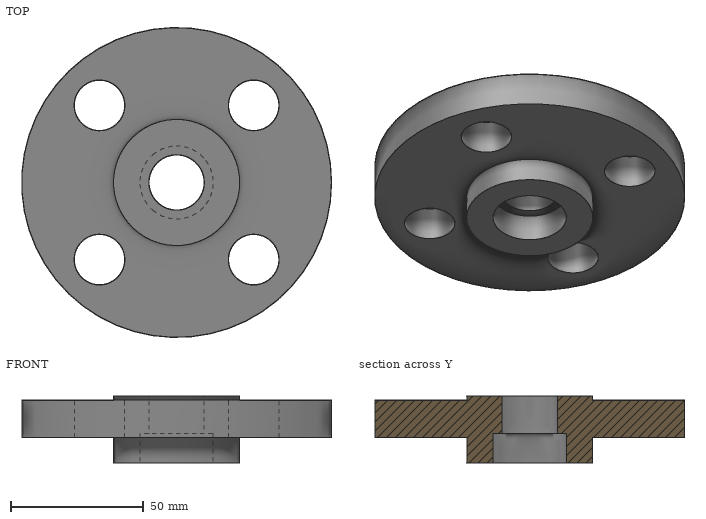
import cadquery as cq
import math

flange_diameter = 117.35
total_height = 25.4

hub_diameter = 47.75
raised_face_height = 1.6
rim_height = 14.15
hub_height = total_height - rim_height - raised_face_height

bore_diameter = 20.83
socket_diameter = 27.69
socket_depth = 11.18

bolt_circle_diameter = 82.55
bolt_hole_diameter = 19.05
bolt_count = 4
first_bolt_angle = 45.0


def disc(diameter, base_z, height):
    """Solid disc on the Z axis, standing on base_z."""
    return cq.Workplane("XY").workplane(offset=base_z).circle(diameter / 2).extrude(height)


def make_body():
    """Hub, rim and raised face stacked upward from Z = 0."""
    hub = disc(hub_diameter, 0, hub_height)
    rim = disc(flange_diameter, hub_height, rim_height)
    raised_face = disc(hub_diameter, hub_height + rim_height, raised_face_height)
    return hub.union(rim).union(raised_face)


def make_bolt_holes():
    """Cutters for the bolt holes, evenly spaced on the bolt circle."""
    radius = bolt_circle_diameter / 2
    centers = []
    for index in range(bolt_count):
        angle = math.radians(first_bolt_angle) + index * 2 * math.pi / bolt_count
        centers.append((radius * math.cos(angle), radius * math.sin(angle)))
    return cq.Workplane("XY").pushPoints(centers).circle(bolt_hole_diameter / 2).extrude(total_height)


bore = disc(bore_diameter, 0, total_height)
socket = disc(socket_diameter, 0, socket_depth)
result = make_body().cut(bore).cut(socket).cut(make_bolt_holes())